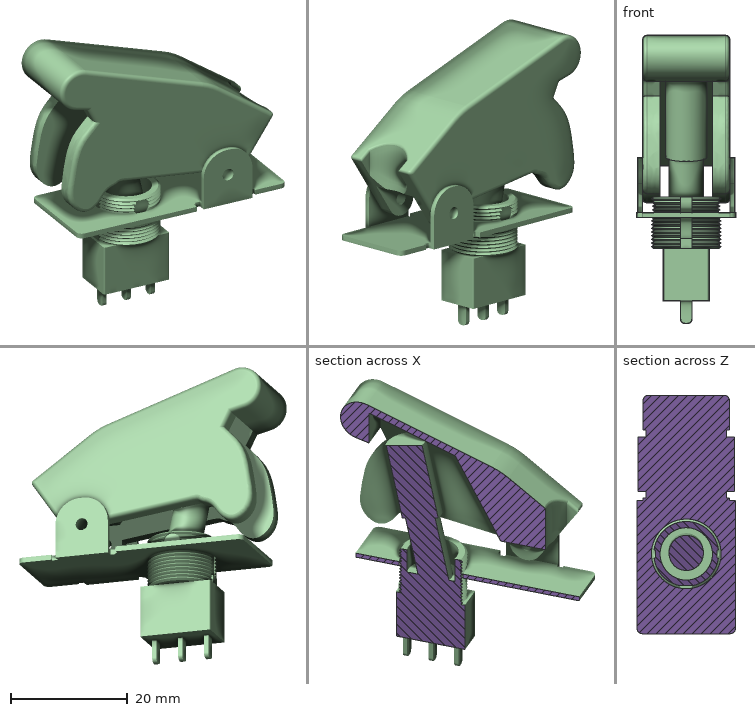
import cadquery as cq
import math


SHEET = 0.9
PLATE_WIDTH = 17.0
PLATE_REAR = 27.25
PLATE_FRONT = -13.75
PLATE_WIDE_END = 9.2
PLATE_CORNER_R = 1.05
COVER_WIDTH = 14.95
EAR_LENGTH = 9.5
EAR_TOP = 10.3
EAR_CORNER_R = 4.45
PIVOT = (15.4, 5.55)
PIVOT_HOLE_D = 2.15
RELIEF_WIDTH = 1.05
RELIEF_DEPTH = 0.5

TOP_ANGLE = 18.4
BACK_ANGLE = 34.8
LIP_ANGLE = 11.0
WALL_ANGLE = 28.6
UNDERSIDE_ANGLE = 7.3
HINGE_D = 6.0
HINGE_R = HINGE_D / 2
NOSE_R = 3.7
NOSE = (-12.9, 27.6)
BEND_TANGENT = 1.8
REAR_CORNER = (25.15, 14.4)
LIP_END = (-11.3, 23.4)
STEP_END = (-10.0, 20.85)
LEG_CURVE = [
    (-12.9, 17.55),
    (-14.8, 10.9),
    (-14.55, 6.2),
    (-11.55, 4.1),
    (-9.05, 5.45),
    (-7.1, 7.5),
    (-5.7, 8.05),
    (-3.9, 8.25),
]
LEG_START_DIRECTION = (-0.7, -0.7)
SIDE_FILLET = 0.75
NOTCH_FILLET = 0.5
RIM_MARGIN = 0.5
CAVITY_WIDTH = 9.0
CAVITY_BACK = (12.75, 8.9)
ROOF_THICKNESS = 1.5
NOTCH_D = 12.5
NOTCH_BOTTOM_Y = 20.95

THREAD_R = 5.95
THREAD_ROOT_R = 5.55
THREAD_COUNT = 14
BUSHING_TOP = 3.55
BUSHING_HEIGHT = 8.85
BORE_D = 8.9
BORE_DEPTH = 4.45
KEYWAY_WIDTH = 2.0
KEYWAY_DEPTH = 0.5
KEYWAY_END = -3.55
SPOT_D = 2.95
SPOT_Z = 1.8
SPOT_FACE_X = 5.3
BODY_WIDTH = 7.9
BODY_LENGTH = 12.7
BODY_Y = -0.05
BODY_HEIGHT = 8.95
BODY_EDGE_R = 0.25
TERMINAL_COUNT = 3
TERMINAL_WIDTH = 2.0
TERMINAL_THICKNESS = 0.8
TERMINAL_LENGTH = 3.9
TERMINAL_TIP_R = 0.8
TERMINAL_PITCH = 4.7
LEVER_D = 6.0
LEVER_TIP_D = 7.1
LEVER_TILT = 12.0
LEVER_PIVOT_Z = 1.25
LEVER_ROOT_DEPTH = 1.8
LEVER_TIP_START = 9.35
LEVER_TIP_LENGTH = 14.35

CLEAR = 49.45


def polar(center, radius, angle):
    """Point on a circle in (Y, Z); the angle in degrees runs from +Y toward +Z."""
    a = math.radians(angle)
    return (center[0] + radius * math.cos(a), center[1] + radius * math.sin(a))


def block(x_range, y_range, z_range):
    """Box between two limits on each axis."""
    limits = (x_range, y_range, z_range)
    size = [high - low for low, high in limits]
    corner = tuple(low for low, high in limits)
    return cq.Workplane("XY").box(*size, centered=False).translate(corner)


def centred_profile(width):
    """YZ sketch plane whose extrusion by the same width is centred on X = 0."""
    return cq.Workplane("YZ", origin=(-width / 2, 0, 0))


def cross_cylinder(diameter, center, width):
    """Cylinder along X, centred on X = 0."""
    return centred_profile(width).center(*center).circle(diameter / 2).extrude(width)


NOSE_TOP = polar(NOSE, NOSE_R, 90 - TOP_ANGLE)
TOP_SLOPE = math.tan(math.radians(TOP_ANGLE))
BACK_SLOPE = math.tan(math.radians(BACK_ANGLE))


def top_height(y):
    return NOSE_TOP[1] - (y - NOSE_TOP[0]) * TOP_SLOPE


def cover_blank():
    """Solid side outline of the cover with its outer edges rounded."""
    back_at_nose = REAR_CORNER[1] + (REAR_CORNER[0] - NOSE_TOP[0]) * BACK_SLOPE
    bend_y = NOSE_TOP[0] + (back_at_nose - NOSE_TOP[1]) / (BACK_SLOPE - TOP_SLOPE)
    bend = (bend_y, top_height(bend_y))

    underside_start = LEG_CURVE[-1]
    tilt = math.radians(UNDERSIDE_ANGLE)
    height_over_pivot = underside_start[1] - PIVOT[1] - (PIVOT[0] - underside_start[0]) * math.tan(tilt)
    offset_angle = math.degrees(math.asin(height_over_pivot * math.cos(tilt) / HINGE_R))
    underside_direction = (math.cos(tilt), -math.sin(tilt))
    hinge_start = 180 - UNDERSIDE_ANGLE - offset_angle

    outline = (
        centred_profile(COVER_WIDTH)
        .moveTo(*REAR_CORNER)
        .lineTo(*polar(bend, BEND_TANGENT, -BACK_ANGLE))
        .tangentArcPoint(polar(bend, BEND_TANGENT, 180 - TOP_ANGLE), relative=False)
        .lineTo(*NOSE_TOP)
        .threePointArc(polar(NOSE, NOSE_R, 180), polar(NOSE, NOSE_R, -90 - LIP_ANGLE))
        .lineTo(*LIP_END)
        .lineTo(*STEP_END)
        .spline(LEG_CURVE, tangents=[LEG_START_DIRECTION, underside_direction], includeCurrent=True)
        .lineTo(*polar(PIVOT, HINGE_R, hinge_start))
        .threePointArc(polar(PIVOT, HINGE_R, -90), polar(PIVOT, HINGE_R, -BACK_ANGLE))
        .close()
    )
    blank = outline.extrude(COVER_WIDTH)
    return blank.faces("<X or >X").edges().fillet(SIDE_FILLET)


def cover_cavity():
    """Space between the legs, under the roof, open at the front, below and behind."""
    roof_drop = ROOF_THICKNESS / math.cos(math.radians(TOP_ANGLE))
    wall_lean = math.tan(math.radians(WALL_ANGLE))
    rise = (top_height(CAVITY_BACK[0]) - roof_drop - CAVITY_BACK[1]) / (1 - wall_lean * TOP_SLOPE)
    wall_top = (CAVITY_BACK[0] - rise * wall_lean, CAVITY_BACK[1] + rise)
    roof_front = (LIP_END[0], top_height(LIP_END[0]) - roof_drop)
    return (
        centred_profile(CAVITY_WIDTH)
        .moveTo(CLEAR, CAVITY_BACK[1])
        .lineTo(*CAVITY_BACK)
        .lineTo(*wall_top)
        .lineTo(*roof_front)
        .lineTo(*LIP_END)
        .lineTo(-CLEAR, LIP_END[1])
        .lineTo(-CLEAR, 0)
        .lineTo(CLEAR, 0)
        .close()
        .extrude(CAVITY_WIDTH)
    )


def cover_notch():
    """Round-ended notch through the rear edge of the back face."""
    arc_center_y = NOTCH_BOTTOM_Y + NOTCH_D / 2
    round_end = cq.Workplane("XY").center(0, arc_center_y).circle(NOTCH_D / 2).extrude(CLEAR)
    half_width = CAVITY_WIDTH / 2
    return round_end.intersect(block((-half_width, half_width), (0, CLEAR), (0, CLEAR)))


def cover():
    shell = cover_blank().cut(cover_cavity()).cut(cover_notch())
    rim_x = COVER_WIDTH / 2 - SIDE_FILLET
    rim_low = (-rim_x, NOTCH_BOTTOM_Y - RIM_MARGIN, REAR_CORNER[1] - RIM_MARGIN)
    rim = cq.selectors.BoxSelector(rim_low, (rim_x, CLEAR, CLEAR))
    return shell.edges(rim).fillet(NOTCH_FILLET)


def plate():
    half_cover = COVER_WIDTH / 2
    half_plate = PLATE_WIDTH / 2
    wide = block((-half_plate, half_plate), (PLATE_FRONT, PLATE_WIDE_END), (0, SHEET))
    strip = block((-half_cover, half_cover), (PLATE_WIDE_END, PLATE_REAR), (0, SHEET))
    wide = wide.edges("|Z and <Y").fillet(PLATE_CORNER_R)
    strip = strip.edges("|Z and >Y").fillet(PLATE_CORNER_R)
    sheet = wide.union(strip)
    for side in (-1, 1):
        for end in (-1, 1):
            ear_end = PIVOT[0] + end * EAR_LENGTH / 2
            y_range = sorted((ear_end, ear_end + end * RELIEF_WIDTH))
            x_range = sorted((side * (half_cover - RELIEF_DEPTH), side * half_plate))
            sheet = sheet.cut(block(x_range, y_range, (0, SHEET)))
    bushing_hole = cq.Workplane("XY").circle(THREAD_R).extrude(SHEET)
    return sheet.cut(bushing_hole)


def ear(side):
    """Upright round-topped lug on the left (-1) or right (+1) of the plate."""
    inner = COVER_WIDTH / 2
    x_range = sorted((side * inner, side * (inner + SHEET)))
    y_range = (PIVOT[0] - EAR_LENGTH / 2, PIVOT[0] + EAR_LENGTH / 2)
    return block(x_range, y_range, (0, EAR_TOP)).edges("|X and >Z").fillet(EAR_CORNER_R)


def make_guard():
    guard = plate().union(ear(-1)).union(ear(1)).union(cover())
    return guard.cut(cross_cylinder(PIVOT_HOLE_D, PIVOT, PLATE_WIDTH))


def bushing():
    """Threaded sleeve with sharp V-shaped ring crests, a bore, a keyway and side recesses."""
    bottom = BUSHING_TOP - BUSHING_HEIGHT
    pitch = BUSHING_HEIGHT / THREAD_COUNT
    profile = cq.Workplane("XZ").moveTo(0, bottom).lineTo(THREAD_ROOT_R, bottom)
    for i in range(THREAD_COUNT):
        root_z = bottom + i * pitch
        profile = profile.lineTo(THREAD_R, root_z + pitch / 2).lineTo(THREAD_ROOT_R, root_z + pitch)
    sleeve = profile.lineTo(0, BUSHING_TOP).close().revolve(360, (0, 0, 0), (0, 1, 0))

    bore = cq.Workplane("XY", origin=(0, 0, BUSHING_TOP)).circle(BORE_D / 2).extrude(-BORE_DEPTH)
    key_x = (-KEYWAY_WIDTH / 2, KEYWAY_WIDTH / 2)
    floor_y = KEYWAY_DEPTH - THREAD_R
    keyway = block(key_x, (-CLEAR, floor_y), (KEYWAY_END, BUSHING_TOP))
    key_stop = block(key_x, (-THREAD_R, floor_y), (bottom, KEYWAY_END))
    sleeve = sleeve.cut(bore).cut(keyway).union(key_stop)
    for side in (-1, 1):
        spot = cq.Workplane("YZ", origin=(side * SPOT_FACE_X, 0, 0)).center(0, SPOT_Z)
        sleeve = sleeve.cut(spot.circle(SPOT_D / 2).extrude(side * CLEAR))
    return sleeve


def switch_body():
    top = BUSHING_TOP - BUSHING_HEIGHT
    body = cq.Workplane("XY", origin=(0, BODY_Y, top)).rect(BODY_WIDTH, BODY_LENGTH).extrude(-BODY_HEIGHT)
    return body.edges("|Z").fillet(BODY_EDGE_R)


def terminal(y):
    top = BUSHING_TOP - BUSHING_HEIGHT - BODY_HEIGHT
    blade = block(
        (-TERMINAL_WIDTH / 2, TERMINAL_WIDTH / 2),
        (y - TERMINAL_THICKNESS / 2, y + TERMINAL_THICKNESS / 2),
        (top - TERMINAL_LENGTH, top),
    )
    return blade.edges("|Y and <Z").fillet(TERMINAL_TIP_R)


def lever():
    """Toggle lever, stepped up to a thicker tip, tilted about its pivot."""
    foot = BUSHING_TOP - BORE_DEPTH - LEVER_PIVOT_Z - LEVER_ROOT_DEPTH
    shaft = cq.Workplane("XY", origin=(0, 0, foot)).circle(LEVER_D / 2).extrude(LEVER_TIP_START - foot)
    tip = cq.Workplane("XY", origin=(0, 0, LEVER_TIP_START)).circle(LEVER_TIP_D / 2).extrude(LEVER_TIP_LENGTH)
    upright = shaft.union(tip)
    return upright.rotate((0, 0, 0), (1, 0, 0), LEVER_TILT).translate((0, 0, LEVER_PIVOT_Z))


def make_switch():
    switch = bushing().union(switch_body()).union(lever())
    for i in range(TERMINAL_COUNT):
        switch = switch.union(terminal((i - (TERMINAL_COUNT - 1) / 2) * TERMINAL_PITCH))
    return switch


guard = make_guard()
switch = make_switch()
result = cq.Compound.makeCompound([guard.solids().val(), switch.solids().val()])